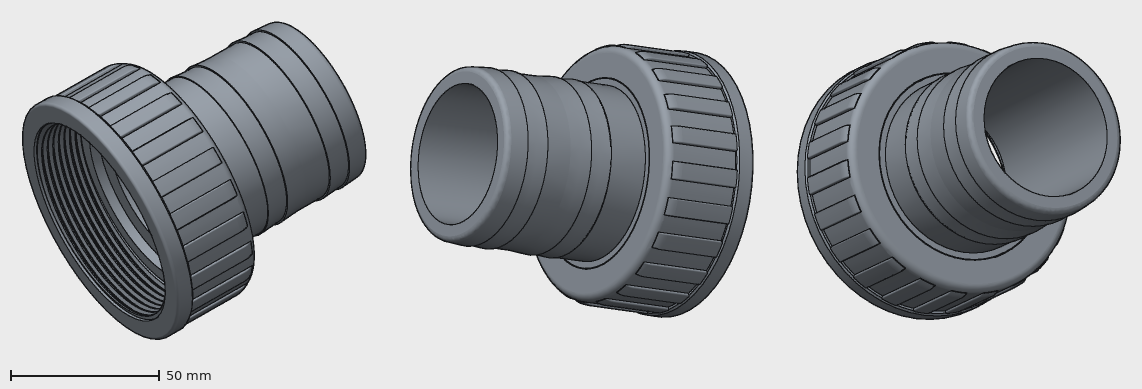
import cadquery as cq
import math

TOTAL_LENGTH = 90.2
MOUTH_Y = -TOTAL_LENGTH / 2

RIM_DIAMETER = 90.0
RIM_LENGTH = 6.7
RIM_MOUTH_FILLET = 1.1
RIM_BACK_CHAMFER = 0.7
NUT_LENGTH = 34.2
NUT_BODY_DIAMETER = 86.95
NUT_BACK_FILLET = 2.6
NUT_NECK_DIAMETER = 65.0
NUT_SEAT_DEPTH = 28.9

RIB_COUNT = 22
RIB_DIAMETER = 88.9
RIB_WIDTH = 6.1
RIB_EDGE_FILLET = 0.45
RIB_STRAIGHT_END = 28.6
RIB_END_RADIUS = 7.7
RIB_END = 32.1
RIB_EMBED = 1.35

THREAD_MINOR_DIAMETER = 72.25
THREAD_MAJOR_DIAMETER = 75.2
THREAD_PITCH = 2.31
THREAD_CREST_WIDTH = 0.45
THREAD_ROOT_WIDTH = 0.4
THREAD_CLEARANCE = 0.045
THREAD_OVERLAP = 0.135
MOUTH_RELIEF_LENGTH = 1.1

GASKET_OUTER_DIAMETER = 72.2
GASKET_INNER_DIAMETER = 62.2
GASKET_THICKNESS = 3.7

TAIL_BORE_DIAMETER = 48.0
TAIL_FLANGE_DIAMETER = 71.7
TAIL_FLANGE_THICKNESS = 6.8
TAIL_COLLAR_DIAMETER = 64.5
TAIL_SHANK_DIAMETER = 60.0
BARB_ROOT_DIAMETER = 59.5
BARB_TIP_DIAMETER = 60.8
BARB_LENGTH = 8.0
SHANK_END = 48.3
BARB_GROUP_STARTS = (SHANK_END, 74.05)
BARBS_PER_GROUP = 2
HOSE_END_FILLET = 1.9

FLANGE_FACE = NUT_SEAT_DEPTH - TAIL_FLANGE_THICKNESS
GASKET_FACE = FLANGE_FACE - GASKET_THICKNESS


def revolve_profile(points):
    """Revolve (radius, distance from the nut mouth) points around the Y axis."""
    placed = [(radius, MOUTH_Y + distance) for radius, distance in points]
    return cq.Workplane("XY").polyline(placed).close().revolve(360, (0, 0), (0, 1))


def cylinder(diameter, start, end):
    """Cylinder on the axis between two distances from the nut mouth."""
    radius = diameter / 2
    return revolve_profile([(0, start), (radius, start), (radius, end), (0, end)])


def make_rib():
    """Rib at +Z with rounded long edges, whose back end curves down into the nut body."""
    start_y = MOUTH_Y + RIM_LENGTH / 2
    end_y = MOUTH_Y + RIB_END
    tip_radius = RIB_DIAMETER / 2
    arc_center = tip_radius - RIB_END_RADIUS

    def end_point(distance):
        radius = arc_center + math.sqrt(RIB_END_RADIUS**2 - (distance - RIB_STRAIGHT_END) ** 2)
        return radius, MOUTH_Y + distance

    envelope = (
        cq.Workplane("XY")
        .moveTo(0, start_y)
        .lineTo(tip_radius, start_y)
        .lineTo(tip_radius, MOUTH_Y + RIB_STRAIGHT_END)
        .threePointArc(end_point((RIB_STRAIGHT_END + RIB_END) / 2), end_point(RIB_END))
        .lineTo(0, end_y)
        .close()
        .revolve(360, (0, 0), (0, 1))
    )
    root_z = NUT_BODY_DIAMETER / 2 - RIB_EMBED
    bar_min = (-RIB_WIDTH / 2, start_y, root_z)
    bar_size = (RIB_WIDTH, end_y - start_y, RIB_DIAMETER / 2)
    rib = cq.Workplane("XY").box(*bar_size, centered=False).translate(bar_min).intersect(envelope)
    long_tip_edges = cq.selectors.BoxSelector(
        (-RIB_WIDTH, start_y - 0.9, NUT_BODY_DIAMETER / 2), (RIB_WIDTH, end_y + 0.9, RIB_DIAMETER / 2)
    ) - cq.selectors.TypeSelector("CIRCLE")
    return rib.edges(long_tip_edges).fillet(RIB_EDGE_FILLET)


def make_ribs():
    rib = make_rib().val()
    step = 360 / RIB_COUNT
    ribs = [rib.rotate(cq.Vector(0, 0, 0), cq.Vector(0, 1, 0), index * step) for index in range(RIB_COUNT)]
    return cq.Workplane(cq.Compound.makeCompound(ribs))


def make_thread_groove():
    """Helical V groove that starts one pitch outside the mouth and ends at the gasket."""
    minor = THREAD_MINOR_DIAMETER / 2
    major = THREAD_MAJOR_DIAMETER / 2 - THREAD_CLEARANCE
    bore = minor - THREAD_OVERLAP
    half_root = THREAD_ROOT_WIDTH / 2
    half_mouth = (THREAD_PITCH - THREAD_CREST_WIDTH) / 2
    flare = (half_mouth - half_root) / (major - minor)
    half_bore = half_mouth + flare * THREAD_OVERLAP
    helix = cq.Wire.makeHelix(THREAD_PITCH, GASKET_FACE + THREAD_PITCH, minor)
    groove = (
        cq.Workplane("XZ")
        .polyline([(bore, -half_bore), (major, -half_root), (major, half_root), (bore, half_bore)])
        .close()
        .sweep(cq.Workplane(obj=helix), isFrenet=True)
    )
    return groove.rotate((0, 0, 0), (1, 0, 0), -90).translate((0, MOUTH_Y - THREAD_PITCH, 0))


def make_nut():
    rim = cylinder(RIM_DIAMETER, 0, RIM_LENGTH)
    rim = rim.faces("<Y").edges().fillet(RIM_MOUTH_FILLET)
    rim = rim.faces(">Y").edges().chamfer(RIM_BACK_CHAMFER)
    body = cylinder(NUT_BODY_DIAMETER, RIM_LENGTH / 2, NUT_LENGTH)
    body = body.faces(">Y").edges().fillet(NUT_BACK_FILLET)
    nut = rim.union(body)
    nut = nut.cut(cylinder(NUT_NECK_DIAMETER, 0, NUT_LENGTH))
    nut = nut.cut(cylinder(THREAD_MINOR_DIAMETER, 0, NUT_SEAT_DEPTH))
    nut = nut.cut(cylinder(THREAD_MAJOR_DIAMETER, 0, MOUTH_RELIEF_LENGTH))
    nut = nut.cut(make_thread_groove())
    return nut.union(make_ribs())


def make_gasket():
    ring = cylinder(GASKET_OUTER_DIAMETER, GASKET_FACE, FLANGE_FACE)
    return ring.cut(cylinder(GASKET_INNER_DIAMETER, GASKET_FACE, FLANGE_FACE))


def make_barb(start):
    """Cone whose large end faces the nut."""
    end = start + BARB_LENGTH
    root = BARB_ROOT_DIAMETER / 2
    tip = BARB_TIP_DIAMETER / 2
    return revolve_profile([(0, start), (tip, start), (root, end), (0, end)])


def make_tail():
    tail = cylinder(BARB_ROOT_DIAMETER, FLANGE_FACE, TOTAL_LENGTH)
    tail = tail.union(cylinder(TAIL_SHANK_DIAMETER, FLANGE_FACE, SHANK_END))
    tail = tail.union(cylinder(TAIL_COLLAR_DIAMETER, FLANGE_FACE, NUT_LENGTH))
    tail = tail.union(cylinder(TAIL_FLANGE_DIAMETER, FLANGE_FACE, NUT_SEAT_DEPTH))
    for group_start in BARB_GROUP_STARTS:
        for index in range(BARBS_PER_GROUP):
            tail = tail.union(make_barb(group_start + index * BARB_LENGTH))
    tail = tail.faces(">Y").edges().fillet(HOSE_END_FILLET)
    return tail.cut(cylinder(TAIL_BORE_DIAMETER, FLANGE_FACE, TOTAL_LENGTH))


nut = make_nut()
gasket = make_gasket()
hose_tail = make_tail()
result = cq.Compound.makeCompound([nut.val(), gasket.val(), hose_tail.val()])